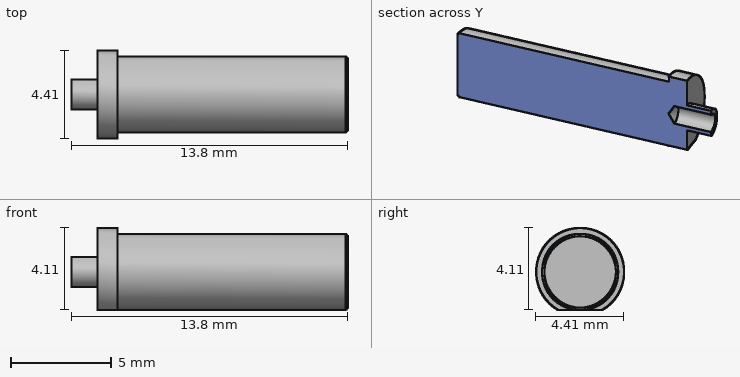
import cadquery as cq
import math

pin_length = 1.3
pin_diameter = 1.51
flange_thickness = 1.01
flange_diameter = 4.407
body_length = 11.5
body_diameter = 3.81
body_end_chamfer = 0.12
bore_diameter = 1.0
bore_depth = 2.0
drill_point_angle = 118.0

flange_start = pin_length
body_start = flange_start + flange_thickness
body_radius = body_diameter / 2


def cylinder_along_x(start, length, diameter):
    return cq.Workplane("YZ", origin=(start, 0, 0)).circle(diameter / 2).extrude(length)


def make_flange():
    """Round flange with a flat at the bottom, level with the body."""
    disc = cylinder_along_x(flange_start, flange_thickness, flange_diameter)
    keep_height = body_radius + flange_diameter / 2
    keep = (
        cq.Workplane("XY", origin=(flange_start, 0, -body_radius))
        .box(flange_thickness, flange_diameter, keep_height, centered=(False, True, False))
    )
    return disc.intersect(keep)


def make_body():
    """Long cylindrical body with a chamfered far end."""
    body = cylinder_along_x(body_start, body_length, body_diameter)
    return body.faces(">X").edges().chamfer(body_end_chamfer)


def make_bore():
    """Blind drilled hole in the pin, ending in a conical drill point."""
    bore_radius = bore_diameter / 2
    point_length = bore_radius / math.tan(math.radians(drill_point_angle / 2))
    return (
        cq.Workplane("XY")
        .lineTo(0, bore_radius)
        .lineTo(bore_depth, bore_radius)
        .lineTo(bore_depth + point_length, 0)
        .close()
        .revolve(360, (0, 0, 0), (1, 0, 0))
    )


pin = cylinder_along_x(0, pin_length, pin_diameter)
result = pin.union(make_flange()).union(make_body()).cut(make_bore())